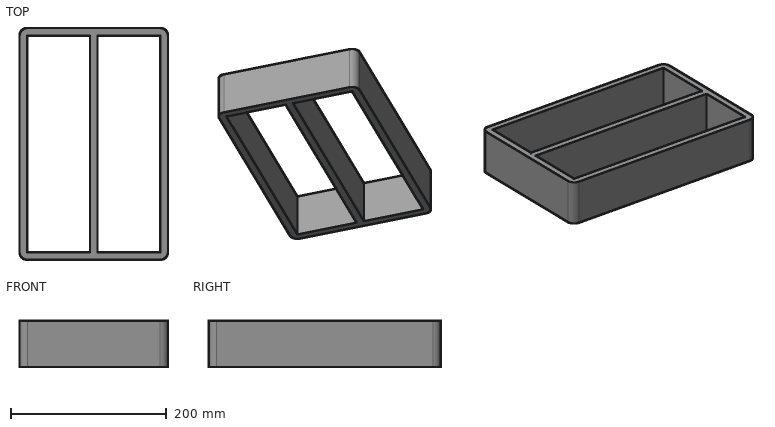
import cadquery as cq

width = 191.0
length = 298.0
height = 60.0
wall = 10.0
corner_radius = wall

divider = wall

opening_width = (width - 2 * wall - divider) / 2
opening_length = length - 2 * wall
opening_offset = (divider + opening_width) / 2

frame = (
    cq.Workplane("XY")
    .rect(width, length)
    .extrude(height)
    .edges("|Z")
    .fillet(corner_radius)
)

openings = (
    cq.Workplane("XY")
    .pushPoints([(-opening_offset, 0), (opening_offset, 0)])
    .rect(opening_width, opening_length)
    .extrude(height)
)

result = frame.cut(openings)